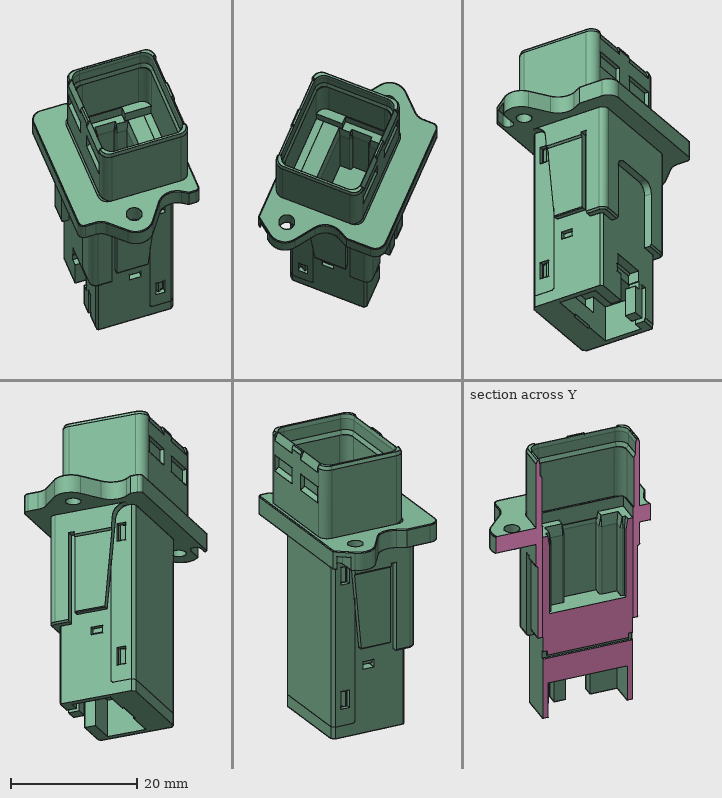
import cadquery as cq
import math

TOTAL_HEIGHT = 48.05

FLANGE_BOTTOM = 32.5
FLANGE_TOP = 35.6
FLANGE_BACK = 8.08
FLANGE_FRONT = -12.4
FLANGE_EDGE_CHAMFER = 0.15
LOBE_X = 13.25
LOBE_RADIUS = 2.9
LOBE_Y_RIGHT = -3.4
LOBE_Y_LEFT = 3.55
HOLE_DIAMETER = 2.5
HOLE_X = 12.55
WAIST_RADIUS = 3.0
WAIST_X = 13.5
FLANGE_SIDE_X = 11.65
FLANGE_RIGHT_FRONT_X = 12.1
LOBE_BACK_X = -13.45
SHOULDER_Y_RIGHT_BACK = 6.15
SHOULDER_Y_LEFT_FRONT = -6.3
SHOULDER_Y_RIGHT_FRONT = -8.75
SHOULDER_BLEND = 2.4
CORNER_RADIUS_LEFT_FRONT = 1.9
CORNER_RADIUS_RIGHT_FRONT = 0.95
CORNER_RADIUS_RIGHT_BACK = 0.65
RECESS_TOP = 34.7
RECESS_FRONT = 5.75
RECESS_BACK = 7.6
RECESS_RADIUS = 0.85
RECESS_RIGHT = -11.55

SHROUD_X = 8.95
SHROUD_Y = 7.4
SHROUD_RADIUS = 1.6
SHROUD_RIM_CHAMFER_WIDTH = 0.25
SHROUD_RIM_CHAMFER_HEIGHT = 0.6
MOUTH_X = 8.2
MOUTH_Y = 6.7
MOUTH_DEPTH = 2.65
MOUTH_RADIUS = 1.6
MOUTH_CHAMFER_WIDTH = 0.15
MOUTH_CHAMFER_HEIGHT = 0.7
LEDGE_WIDTH = 0.35
LEDGE_HEIGHT = 0.7
CAVITY_X = MOUTH_X - LEDGE_WIDTH
CAVITY_Y = MOUTH_Y - LEDGE_WIDTH
FOOT_SIZE = 0.25
FOOT_HEIGHT = 0.5

LATCH_INNER_X = 1.45
LATCH_OUTER_X = 7.1
RAMP_HEIGHT = 1.4
RAMP_DEPTH = 0.6
WINDOW_BOTTOM = 41.4
WINDOW_SLOPE_TOP = 41.95
WINDOW_TOP = 44.2
WINDOW_DEPTH = 0.7

SLEEVE_X = 9.0
SLEEVE_FRONT = -9.33
SLEEVE_BOTTOM = 13.55
SLEEVE_RADIUS = 1.1
SLEEVE_CHAMFER = 0.3
ARCH_X = 4.9
ARCH_TOP = 25.05
ARCH_RADIUS = 1.75
COLUMN_BACK = -5.85
FLAP_FRONT = -4.9
FLAP_BOTTOM = 15.05
FLAP_BACK_LOW = 0.35
FLAP_BACK_HIGH = 1.8
FLAP_BLEND = 2.25
FLAP_STEP_TOP = 28.5
FLAP_STEP_HEIGHT = 0.3
FLAP_STEP_DEPTH = 0.35
FLAP_TIP_BEVEL = 0.15
SLOT_TOP = 29.0

JACK_X = 7.75
JACK_FRONT = -8.08
JACK_BACK = 5.1
JACK_BACK_CHAMFER = 0.55
JACK_FRONT_CHAMFER = 0.4
NECK_TOP = 33.65
NECK_NARROW_X = 6.45
NECK_STEP_Y = 1.87
NECK_FRONT = -6.0
PLUG_X = 6.3
PLUG_BACK = 2.4
PLUG_FRONT = -4.75
PLUG_SHOULDER_X = 6.85
PLUG_SHOULDER_BACK = 0.45
PLUG_SHOULDER_FRONT = -3.05
PLUG_LATCH_X = 3.35
PLUG_FLOOR = 19.25
PLUG_LEAD_IN = 0.35
PLUG_LEAD_IN_DEPTH = 1.9

CHAMBER_X = 6.8
CHAMBER_FRONT = -6.2
CHAMBER_BACK = 0.5
CHAMBER_TOP = 6.35
ALCOVE_BACK = 1.9
ALCOVE_BOTTOM = 3.4
SILL_BEVEL = 0.3
STEM_X = 2.1
CROSS_BOTTOM = 4.95
CROSS_X = 3.2
LINTEL_X = 3.1
LINTEL_TOP = 8.25
LINTEL_CHAMFER = 0.35
TAB_SLOT_LEFT = 4.1
TAB_SLOT_RIGHT = 5.1
TAB_SLOT_TOP = 6.2
TAB_BEVEL_HEIGHT = 0.6
TAB_BEVEL_DEPTH = 0.2
SIDE_SLOT_FRONT = -2.45
SIDE_SLOT_BACK = -0.5
SIDE_SLOT_BOTTOM = 11.05
SIDE_SLOT_THROUGH_TOP = 11.55
SIDE_SLOT_TOP = 12.35
SIDE_SLOT_DEPTH = 0.7

COVER_BOTTOM = 2.05
COVER_FRONT = 1.0
COVER_WALL = 0.7
COVER_CORNER = 0.3
CATCH_FRONT = 2.0
CATCH_BACK = 3.55
CATCH_HEIGHT = 3.05
CATCH_RIDGE_Y = 2.55
CATCH_RISE = 0.5
CATCH_GAP = 0.2
CATCH_BOTTOMS = (4.95, 26.55)


def box(x0, x1, y0, y1, z0, z1):
    """Box between two opposite corners."""
    return cq.Workplane("XY").box(x1 - x0, y1 - y0, z1 - z0, centered=False).translate((x0, y0, z0))


def rounded_block(half_x, half_y, z0, z1, radius):
    """Upright block, centred on the shroud, with rounded vertical edges."""
    return box(-half_x, half_x, -half_y, half_y, z0, z1).edges("|Z").fillet(radius)


def tapered_block(half_x, half_y, z0, height, radius, inset):
    """Rounded block that narrows by the inset on every side over its height (negative is downward)."""
    taper = math.degrees(math.atan2(inset, abs(height)))
    outline = cq.Sketch().rect(2 * half_x, 2 * half_y).vertices().fillet(radius)
    return cq.Workplane("XY", origin=(0, 0, z0)).placeSketch(outline).extrude(height, taper=taper)


def side_prism(points, x0, x1):
    """Prism along X from an outline of (Y, Z) points."""
    return cq.Workplane("YZ").polyline(points).close().extrude(x1 - x0).translate((x0, 0, 0))


def both_sides(shape):
    """The shape together with its mirror image across the YZ plane."""
    return shape.union(shape.mirror("YZ"))


def tangent_point(centre, radius, point, side):
    """Where a line through an outside point touches a circle; side (+1 or -1) picks which one."""
    dx = point[0] - centre[0]
    dy = point[1] - centre[1]
    angle = math.atan2(dy, dx) + side * math.acos(radius / math.hypot(dx, dy))
    return (centre[0] + radius * math.cos(angle), centre[1] + radius * math.sin(angle))


def between(first, second, share):
    """Point at a given share of the way from the first point to the second."""
    return tuple(a + (b - a) * share for a, b in zip(first, second))


def ear(lobe, waist, lobe_end, waist_end, direction):
    """Corner points of one ear, from the lobe arc to the waist arc.

    The straight runs before, between and after the arcs are tangent to them. lobe_end and
    waist_end are the outline corners that the ear joins.
    """
    crossing = between(lobe, waist, LOBE_RADIUS / (LOBE_RADIUS + WAIST_RADIUS))
    lobe_start = tangent_point(lobe, LOBE_RADIUS, lobe_end, 1)
    lobe_stop = tangent_point(lobe, LOBE_RADIUS, crossing, -1)
    waist_start = tangent_point(waist, WAIST_RADIUS, crossing, -1)
    waist_stop = tangent_point(waist, WAIST_RADIUS, waist_end, 1)
    lobe_tip = (lobe[0] + direction * LOBE_RADIUS, lobe[1])
    waist_tip = (waist[0] - direction * WAIST_RADIUS, waist[1])
    return lobe_start, lobe_tip, lobe_stop, waist_start, waist_tip, waist_stop


def draw_ear(outline, points, waist_end):
    """Continue the flange outline round one ear."""
    lobe_start, lobe_tip, lobe_stop, waist_start, waist_tip, waist_stop = points
    return (
        outline.lineTo(*lobe_start)
        .threePointArc(lobe_tip, lobe_stop)
        .lineTo(*waist_start)
        .threePointArc(waist_tip, waist_stop)
        .lineTo(*waist_end)
    )


def round_corner(flange, corner, radius):
    """Round the upright flange edge nearest to a corner of the outline."""
    middle = (FLANGE_BOTTOM + FLANGE_TOP) / 2
    nearest = cq.selectors.NearestToPointSelector((*corner, middle))
    return flange.edges("|Z").edges(nearest).fillet(radius)


def make_flange():
    """Flange plate with two screw ears, three rounded corners and a recess under the left ear."""
    left_lobe = (-LOBE_X, LOBE_Y_LEFT)
    right_lobe = (LOBE_X, LOBE_Y_RIGHT)
    left_waist = (-WAIST_X, LOBE_Y_RIGHT)
    right_waist = (WAIST_X, LOBE_Y_LEFT)
    left_start = (LOBE_BACK_X, FLANGE_BACK)
    left_end = (-FLANGE_SIDE_X, SHOULDER_Y_LEFT_FRONT)
    right_start = (FLANGE_RIGHT_FRONT_X, SHOULDER_Y_RIGHT_FRONT)
    right_end = (FLANGE_SIDE_X, SHOULDER_Y_RIGHT_BACK)
    left_ear = ear(left_lobe, left_waist, left_start, left_end, -1)
    right_ear = ear(right_lobe, right_waist, right_start, right_end, 1)

    outline = cq.Workplane("XY").moveTo(*left_start)
    outline = draw_ear(outline, left_ear, left_end)
    outline = outline.lineTo(-FLANGE_SIDE_X, FLANGE_FRONT)
    outline = outline.lineTo(FLANGE_RIGHT_FRONT_X, FLANGE_FRONT).lineTo(*right_start)
    outline = draw_ear(outline, right_ear, right_end)
    outline = outline.lineTo(FLANGE_SIDE_X, FLANGE_BACK).close()
    flange = outline.extrude(FLANGE_TOP - FLANGE_BOTTOM).translate((0, 0, FLANGE_BOTTOM))

    flange = round_corner(flange, (-FLANGE_SIDE_X, FLANGE_FRONT), CORNER_RADIUS_LEFT_FRONT)
    flange = round_corner(flange, (FLANGE_RIGHT_FRONT_X, FLANGE_FRONT), CORNER_RADIUS_RIGHT_FRONT)
    flange = round_corner(flange, (FLANGE_SIDE_X, FLANGE_BACK), CORNER_RADIUS_RIGHT_BACK)
    flange = round_corner(flange, right_start, SHOULDER_BLEND)
    flange = flange.faces(">Z").edges().chamfer(FLANGE_EDGE_CHAMFER)
    hole_centres = [(-HOLE_X, LOBE_Y_LEFT), (HOLE_X, LOBE_Y_RIGHT)]
    holes = cq.Workplane("XY").pushPoints(hole_centres).circle(HOLE_DIAMETER / 2).extrude(TOTAL_HEIGHT)
    recess = box(-LOBE_X - LOBE_RADIUS, RECESS_RIGHT, RECESS_FRONT, RECESS_BACK, FLANGE_BOTTOM, RECESS_TOP)
    recess = recess.edges("|Z and >X").fillet(RECESS_RADIUS)
    return flange.cut(holes).cut(recess)


def make_shroud():
    """Solid shroud with a bevelled rim and a sloped foot along its front."""
    shroud = rounded_block(SHROUD_X, SHROUD_Y, FLANGE_TOP, TOTAL_HEIGHT, SHROUD_RADIUS)
    shroud = shroud.faces(">Z").edges().chamfer(SHROUD_RIM_CHAMFER_HEIGHT, SHROUD_RIM_CHAMFER_WIDTH)
    foot_front = SHROUD_Y + FOOT_SIZE
    foot = tapered_block(SHROUD_X, foot_front, FLANGE_TOP, FOOT_HEIGHT, SHROUD_RADIUS, FOOT_SIZE)
    front_half = box(-SHROUD_X, SHROUD_X, FLANGE_FRONT, 0, FLANGE_TOP, TOTAL_HEIGHT)
    return shroud.union(foot.intersect(front_half))


def shroud_cavity():
    """Inside of the shroud: flared mouth, sloped ledge and straight well."""
    mouth_floor = TOTAL_HEIGHT - MOUTH_DEPTH
    mouth = rounded_block(MOUTH_X, MOUTH_Y, mouth_floor, TOTAL_HEIGHT, MOUTH_RADIUS)
    lead_in = tapered_block(
        MOUTH_X + MOUTH_CHAMFER_WIDTH,
        MOUTH_Y + MOUTH_CHAMFER_WIDTH,
        TOTAL_HEIGHT,
        -MOUTH_CHAMFER_HEIGHT,
        MOUTH_RADIUS + MOUTH_CHAMFER_WIDTH,
        MOUTH_CHAMFER_WIDTH,
    )
    ledge = tapered_block(MOUTH_X, MOUTH_Y, mouth_floor, -LEDGE_HEIGHT, MOUTH_RADIUS, LEDGE_WIDTH)
    well = rounded_block(CAVITY_X, CAVITY_Y, FLANGE_TOP, mouth_floor, MOUTH_RADIUS)
    return mouth.union(lead_in).union(ledge).union(well)


def latch_cuts():
    """Rim ramps and catch windows, two of each in the front and back walls."""
    ramp = [
        (-SHROUD_Y, TOTAL_HEIGHT - RAMP_HEIGHT),
        (-SHROUD_Y + RAMP_DEPTH, TOTAL_HEIGHT),
        (-SHROUD_Y, TOTAL_HEIGHT),
    ]
    window = [
        (-SHROUD_Y, WINDOW_BOTTOM),
        (-SHROUD_Y + WINDOW_DEPTH, WINDOW_SLOPE_TOP),
        (-SHROUD_Y + WINDOW_DEPTH, WINDOW_TOP),
        (-SHROUD_Y, WINDOW_TOP),
    ]
    cuts = side_prism(ramp, LATCH_INNER_X, LATCH_OUTER_X)
    cuts = cuts.union(side_prism(window, LATCH_INNER_X, LATCH_OUTER_X))
    cuts = both_sides(cuts)
    return cuts.union(cuts.mirror("XZ"))


def make_sleeve():
    """Front wall with an arch, side slots and two side flaps."""
    front = box(-SLEEVE_X, SLEEVE_X, SLEEVE_FRONT, FLAP_FRONT, SLEEVE_BOTTOM, FLANGE_BOTTOM)
    front = front.edges("|Z and <Y").fillet(SLEEVE_RADIUS).faces("<Z").edges().chamfer(SLEEVE_CHAMFER)
    slot = box(-SLEEVE_X, SLEEVE_X, COLUMN_BACK, FLAP_FRONT, SLEEVE_BOTTOM, SLOT_TOP)
    arch = box(-ARCH_X, ARCH_X, SLEEVE_FRONT, JACK_FRONT, SLEEVE_BOTTOM, ARCH_TOP)
    arch = arch.edges("|Y and >Z").fillet(ARCH_RADIUS)
    return front.cut(slot).cut(arch).union(both_sides(make_flap()))


def make_flap():
    """Left side flap: slanted rear edge that sweeps back into the flange, thinner lower part."""
    blend_bottom = FLANGE_BOTTOM - FLAP_BLEND
    blend_middle = FLAP_BLEND * (1 - math.sqrt(0.5))
    outline = (
        cq.Workplane("YZ")
        .moveTo(FLAP_FRONT, FLAP_BOTTOM)
        .lineTo(FLAP_BACK_LOW, FLAP_BOTTOM)
        .lineTo(FLAP_BACK_HIGH, blend_bottom)
        .threePointArc(
            (FLAP_BACK_HIGH + blend_middle, FLANGE_BOTTOM - blend_middle),
            (FLAP_BACK_HIGH + FLAP_BLEND, FLANGE_BOTTOM),
        )
        .lineTo(FLAP_FRONT, FLANGE_BOTTOM)
        .close()
    )
    flap = outline.extrude(SLEEVE_X - JACK_X).translate((-SLEEVE_X, 0, 0))
    thin_x = -SLEEVE_X + FLAP_STEP_DEPTH
    thinning = (
        cq.Workplane("XZ")
        .moveTo(-SLEEVE_X, FLAP_BOTTOM)
        .lineTo(thin_x + FLAP_TIP_BEVEL, FLAP_BOTTOM)
        .lineTo(thin_x, FLAP_BOTTOM + FLAP_TIP_BEVEL)
        .lineTo(thin_x, FLAP_STEP_TOP - FLAP_STEP_HEIGHT)
        .lineTo(-SLEEVE_X, FLAP_STEP_TOP)
        .close()
        .extrude(JACK_BACK - FLAP_FRONT)
        .translate((0, JACK_BACK, 0))
    )
    return flap.cut(thinning)


def make_housing():
    """Flange, shroud and sleeve in one piece, bored to take the jack."""
    housing = make_flange().union(make_shroud()).union(make_sleeve())
    housing = housing.cut(shroud_cavity()).cut(latch_cuts()).cut(jack_envelope())
    rear_step = box(-NECK_NARROW_X, NECK_NARROW_X, JACK_BACK, CAVITY_Y, NECK_TOP, FLANGE_TOP)
    return housing.cut(rear_step).cut(neck(FLANGE_TOP))


def jack_envelope():
    """Outer block of the jack and cover together, with bevelled upright edges."""
    block = box(-JACK_X, JACK_X, JACK_FRONT, JACK_BACK, 0, FLANGE_BOTTOM)
    block = block.edges("|Z and >Y").chamfer(JACK_BACK_CHAMFER)
    return block.edges("|Z and <Y").chamfer(JACK_FRONT_CHAMFER)


def neck(top):
    """Stepped neck that passes up through the flange."""
    narrow = box(-NECK_NARROW_X, NECK_NARROW_X, NECK_FRONT, JACK_BACK, FLANGE_BOTTOM, top)
    wide = box(-JACK_X, JACK_X, NECK_FRONT, NECK_STEP_Y, FLANGE_BOTTOM, top)
    return narrow.union(wide)


def plug_opening():
    """Stepped plug outline with a tapered lead-in above straight walls."""
    half = [
        (PLUG_X, PLUG_BACK),
        (PLUG_X, PLUG_SHOULDER_BACK),
        (PLUG_SHOULDER_X, PLUG_SHOULDER_BACK),
        (PLUG_SHOULDER_X, PLUG_SHOULDER_FRONT),
        (PLUG_X, PLUG_SHOULDER_FRONT),
        (PLUG_X, PLUG_FRONT),
        (PLUG_LATCH_X, PLUG_FRONT),
        (PLUG_LATCH_X, NECK_FRONT - PLUG_LEAD_IN),
    ]
    mirrored = [(-x, y) for x, y in reversed(half)]
    outline = cq.Workplane("XY", origin=(0, 0, NECK_TOP)).polyline(half + mirrored).close()
    taper = math.degrees(math.atan2(PLUG_LEAD_IN, PLUG_LEAD_IN_DEPTH))
    lead_in = outline.extrude(-PLUG_LEAD_IN_DEPTH, taper=taper)
    straight_depth = NECK_TOP - PLUG_LEAD_IN_DEPTH - PLUG_FLOOR
    straight = cq.Workplane(lead_in.faces("<Z").val()).wires().toPending().extrude(-straight_depth)
    return lead_in.union(straight)


def wiring_openings():
    """Chamber open at the bottom, with a T-shaped doorway in the front wall."""
    chamber = box(-CHAMBER_X, CHAMBER_X, CHAMBER_FRONT, CHAMBER_BACK, 0, CHAMBER_TOP)
    alcove = box(-CROSS_X, CROSS_X, CHAMBER_BACK, ALCOVE_BACK, ALCOVE_BOTTOM, CHAMBER_TOP)
    sill = side_prism(
        [(CHAMBER_BACK, 0), (CHAMBER_BACK + SILL_BEVEL, 0), (CHAMBER_BACK, SILL_BEVEL)], -STEM_X, STEM_X
    )
    stem = box(-STEM_X, STEM_X, JACK_FRONT, CHAMBER_FRONT, 0, CHAMBER_TOP)
    cross = box(-CROSS_X, CROSS_X, JACK_FRONT, CHAMBER_FRONT, CROSS_BOTTOM, CHAMBER_TOP)
    lintel = box(-LINTEL_X, LINTEL_X, JACK_FRONT, CHAMBER_FRONT, CHAMBER_TOP, LINTEL_TOP)
    lintel = lintel.edges("|X and >Z and >Y").chamfer(LINTEL_CHAMFER)
    return chamber.union(alcove).union(sill).union(stem).union(cross).union(lintel)


def spring_tab_cuts():
    """Slot that frees the corner tab, and the bevel under the tab."""
    slot = box(TAB_SLOT_LEFT, TAB_SLOT_RIGHT, JACK_FRONT, CHAMBER_FRONT, 0, TAB_SLOT_TOP)
    bevel = [(JACK_FRONT, 0), (JACK_FRONT + TAB_BEVEL_DEPTH, 0), (JACK_FRONT, TAB_BEVEL_HEIGHT)]
    return slot.union(side_prism(bevel, TAB_SLOT_RIGHT, JACK_X))


def side_slots():
    """Narrow slot right across the jack, taller at both outer sides."""
    through = box(
        -JACK_X, JACK_X, SIDE_SLOT_FRONT, SIDE_SLOT_BACK, SIDE_SLOT_BOTTOM, SIDE_SLOT_THROUGH_TOP
    )
    pocket = box(
        -JACK_X, -JACK_X + SIDE_SLOT_DEPTH, SIDE_SLOT_FRONT, SIDE_SLOT_BACK, SIDE_SLOT_BOTTOM, SIDE_SLOT_TOP
    )
    return through.union(both_sides(pocket))


def catches(bottom):
    """Ridged catches on both sides of the jack, inside one pair of cover windows."""
    wall_x = -JACK_X + COVER_WALL
    ridge = (
        cq.Workplane("XY", origin=(0, 0, bottom + CATCH_GAP))
        .moveTo(wall_x, CATCH_FRONT + CATCH_GAP)
        .lineTo(wall_x - CATCH_RISE, CATCH_RIDGE_Y)
        .lineTo(wall_x, CATCH_BACK - CATCH_GAP)
        .close()
        .extrude(CATCH_HEIGHT - 2 * CATCH_GAP)
    )
    return both_sides(ridge)


def make_jack():
    """Jack block and neck with all their openings, and catches that hold the cover."""
    jack = jack_envelope().union(neck(NECK_TOP)).cut(cover_blank())
    for bottom in CATCH_BOTTOMS:
        jack = jack.union(catches(bottom))
    return jack.cut(plug_opening()).cut(wiring_openings()).cut(spring_tab_cuts()).cut(side_slots())


def cover_blank():
    """U-shaped shell around the back of the jack."""
    outer = box(-JACK_X, JACK_X, COVER_FRONT, JACK_BACK, COVER_BOTTOM, FLANGE_BOTTOM)
    outer = outer.edges("|X and <Y and <Z").chamfer(COVER_CORNER)
    inner_x = JACK_X - COVER_WALL
    inner = box(-inner_x, inner_x, COVER_FRONT, JACK_BACK - COVER_WALL, COVER_BOTTOM, FLANGE_BOTTOM)
    return outer.cut(inner).intersect(jack_envelope())


def make_cover():
    """Rear cover with two catch windows in each side."""
    cover = cover_blank()
    for bottom in CATCH_BOTTOMS:
        cover = cover.cut(box(-JACK_X, JACK_X, CATCH_FRONT, CATCH_BACK, bottom, bottom + CATCH_HEIGHT))
    return cover


housing = make_housing()
jack = make_jack()
cover = make_cover()

result = cq.Compound.makeCompound([housing.val(), jack.val(), cover.val()])